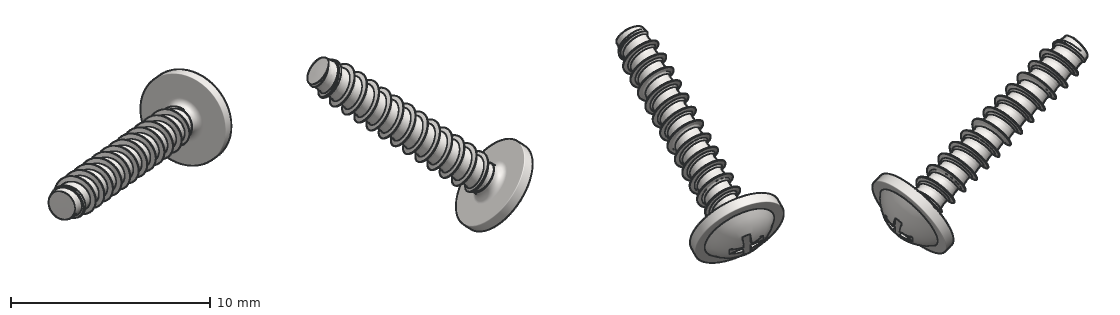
import cadquery as cq
import math


WASHER_DIAMETER = 5.0
WASHER_THICKNESS = 0.6
WASHER_EDGE_FILLET = 0.04
DOME_BASE_RADIUS = 1.94
DOME_HEIGHT = 0.98
SLOT_WIDTH = 0.44
HEAD_HEIGHT = WASHER_THICKNESS + DOME_HEIGHT
SLOT_DEPTH = 0.2

SHANK_LENGTH = 12.0
TIP_CONE_HEIGHT = 0.02
CORE_RADIUS = 0.77
NECK_RADIUS = 0.86
NECK_LENGTH = 0.53
NECK_FILLET = 0.35

PITCH = 0.85
CREST_RADIUS = 1.1
CREST_HALF_WIDTH = 0.025
FLANK_HALF_WIDTH = 0.085
TIP_SIDE_ROOT_RADIUS = 0.84
HEAD_SIDE_ROOT_RADIUS = 0.87
HEAD_SIDE_REACH = 0.24
HOLLOW_RISE = 0.3
ROOT_EMBED = 0.02
TURN_GAP = 0.02
LAST_CREST_DEPTH = 11.355
TURNS = 15

NECK_FADE_DEPTH = 1.37
NECK_FADE_SLOPE = 0.2
TIP_FADE_DEPTH = 10.78
TIP_FADE_SLOPE = 0.27


def make_head():
    """Washer with rounded rims carrying a spherical dome with a crossed slot."""
    washer = (
        cq.Workplane("XY")
        .circle(WASHER_DIAMETER / 2)
        .extrude(WASHER_THICKNESS)
        .edges()
        .fillet(WASHER_EDGE_FILLET)
    )
    dome_radius = (DOME_BASE_RADIUS**2 + DOME_HEIGHT**2) / (2 * DOME_HEIGHT)
    mid_angle = math.asin(DOME_BASE_RADIUS / dome_radius) / 2
    mid_point = (
        dome_radius * math.sin(mid_angle),
        HEAD_HEIGHT - dome_radius * (1 - math.cos(mid_angle)),
    )
    dome = (
        cq.Workplane("XZ")
        .moveTo(0, WASHER_THICKNESS / 2)
        .lineTo(DOME_BASE_RADIUS, WASHER_THICKNESS / 2)
        .lineTo(DOME_BASE_RADIUS, WASHER_THICKNESS)
        .threePointArc(mid_point, (0, HEAD_HEIGHT))
        .close()
        .revolve(360, (0, 0), (0, 1))
    )
    slots = cq.Workplane("XY").workplane(offset=HEAD_HEIGHT - SLOT_DEPTH)
    slot_x = slots.rect(WASHER_DIAMETER, SLOT_WIDTH).extrude(SLOT_DEPTH)
    slot_y = slots.rect(SLOT_WIDTH, WASHER_DIAMETER).extrude(SLOT_DEPTH)
    return washer.union(dome).cut(slot_x).cut(slot_y)


def make_neck():
    """Short plain cylinder filleted into the underside of the washer."""
    fillet_mid = NECK_FILLET * (1 - math.sqrt(0.5))
    return (
        cq.Workplane("XZ")
        .moveTo(0, WASHER_THICKNESS / 2)
        .lineTo(NECK_RADIUS + NECK_FILLET, WASHER_THICKNESS / 2)
        .lineTo(NECK_RADIUS + NECK_FILLET, 0)
        .threePointArc((NECK_RADIUS + fillet_mid, -fillet_mid), (NECK_RADIUS, -NECK_FILLET))
        .lineTo(NECK_RADIUS, -NECK_LENGTH)
        .lineTo(0, -NECK_LENGTH)
        .close()
        .revolve(360, (0, 0), (0, 1))
    )


def make_thread():
    """Right-handed ridge: hollow flank towards the head, tapering root towards the tip."""
    start = -(LAST_CREST_DEPTH + PITCH)
    root_radius = CORE_RADIUS - ROOT_EMBED
    tip_side_reach = PITCH - HEAD_SIDE_REACH - TURN_GAP
    hollow_mid = (
        root_radius + (HEAD_SIDE_ROOT_RADIUS - root_radius) * HOLLOW_RISE,
        start + (HEAD_SIDE_REACH + FLANK_HALF_WIDTH) / 2,
    )
    profile = (
        cq.Workplane("XZ")
        .moveTo(root_radius, start + HEAD_SIDE_REACH)
        .threePointArc(hollow_mid, (HEAD_SIDE_ROOT_RADIUS, start + FLANK_HALF_WIDTH))
        .lineTo(CREST_RADIUS, start + CREST_HALF_WIDTH)
        .lineTo(CREST_RADIUS, start - CREST_HALF_WIDTH)
        .lineTo(TIP_SIDE_ROOT_RADIUS, start - FLANK_HALF_WIDTH)
        .lineTo(root_radius, start - tip_side_reach)
        .close()
    )
    helix = cq.Wire.makeHelix(PITCH, TURNS * PITCH, root_radius, cq.Vector(0, 0, start))
    return profile.sweep(cq.Workplane(helix), isFrenet=True)


def make_shank_envelope():
    """Outer limit of the threaded shank: two cones fade the thread out, a flat cone ends it."""
    slope_sum = NECK_FADE_SLOPE + TIP_FADE_SLOPE
    fade_span = TIP_FADE_DEPTH - NECK_FADE_DEPTH
    widest_radius = CREST_RADIUS + fade_span * NECK_FADE_SLOPE * TIP_FADE_SLOPE / slope_sum
    widest_depth = NECK_FADE_DEPTH + (widest_radius - CREST_RADIUS) / NECK_FADE_SLOPE
    top_radius = CREST_RADIUS - (NECK_FADE_DEPTH - NECK_LENGTH) * NECK_FADE_SLOPE
    fade_end_depth = TIP_FADE_DEPTH + (CREST_RADIUS - CORE_RADIUS) / TIP_FADE_SLOPE
    return (
        cq.Workplane("XZ")
        .moveTo(0, -NECK_LENGTH)
        .lineTo(top_radius, -NECK_LENGTH)
        .lineTo(widest_radius, -widest_depth)
        .lineTo(CORE_RADIUS, -fade_end_depth)
        .lineTo(CORE_RADIUS, TIP_CONE_HEIGHT - SHANK_LENGTH)
        .lineTo(0, -SHANK_LENGTH)
        .close()
        .revolve(360, (0, 0), (0, 1))
    )


def make_threaded_shank():
    """Core and thread run past both ends, then are trimmed to the shank envelope."""
    overrun = 2 * PITCH
    core = (
        cq.Workplane("XY")
        .workplane(offset=-SHANK_LENGTH - overrun)
        .circle(CORE_RADIUS)
        .extrude(SHANK_LENGTH + 2 * overrun)
    )
    return core.union(make_thread()).intersect(make_shank_envelope())


screw = make_threaded_shank().union(make_neck()).union(make_head())
result = screw.rotate((0, 0, 0), (1, 0, 0), -90)